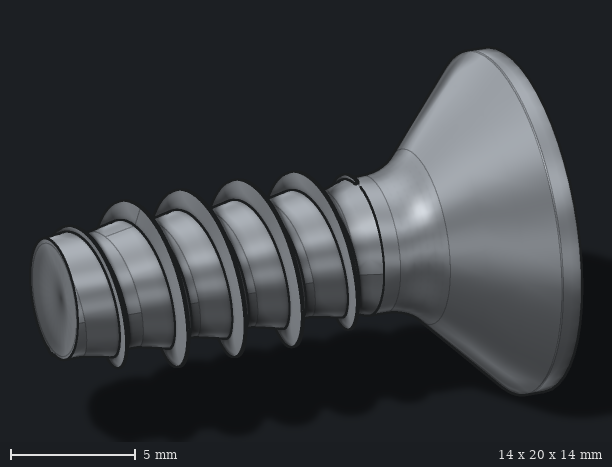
import cadquery as cq
import math


length = 20.0
head_radius = 7.0
rim_depth = 0.88
rim_rounding = 0.08
countersink_angle = math.radians(45)
neck_fillet = 2.6

shank_radius = 2.8
shank_end = 6.87
neck_cone_end = 7.97
core_radius = 2.45
dimple_radius = 2.3
dimple_depth = 0.3

pitch = 2.48
crest_radius = 3.5
crest_depth_on_x = 8.26
crest_half_width = 0.045
shoulder_radius = 2.93
shoulder_offset = 0.22
head_side_foot_offset = 0.53
tip_side_foot_radius = 2.72
tip_side_foot_offset = 0.27
taper_end_offset = 1.55
overlap = 0.06
taper_sink = 0.015
inner_radius = 2.2

thread_start = 6.8

thread_stations = [(6.4, 0.45), (shank_end, 0.55), (9.48, 1.0), (16.3, 1.0), (20.2, 0.07)]
samples_per_turn = 24


def make_body():
    """Head, neck fillet, shank, neck cone and core as one revolved outline."""
    tangent_shift = neck_fillet * math.sin(countersink_angle)
    fillet_start_radius = shank_radius + neck_fillet * (1 - math.cos(countersink_angle))
    fillet_start = rim_depth + (head_radius - fillet_start_radius) / math.tan(countersink_angle)
    fillet_end = fillet_start + tangent_shift
    arc_angle = countersink_angle / 2
    arc_middle = (
        shank_radius + neck_fillet * (1 - math.cos(arc_angle)),
        -(fillet_end - neck_fillet * math.sin(arc_angle)),
    )
    outline = (
        cq.Workplane("XY")
        .moveTo(0, 0)
        .lineTo(head_radius, 0)
        .lineTo(head_radius, -rim_depth)
        .lineTo(fillet_start_radius, -fillet_start)
        .threePointArc(arc_middle, (shank_radius, -fillet_end))
        .lineTo(shank_radius, -shank_end)
        .lineTo(core_radius, -neck_cone_end)
        .lineTo(core_radius, -length)
        .lineTo(0, -length)
        .close()
    )
    body = outline.revolve(360, (0, 0, 0), (0, 1, 0))
    rim_edges = cq.selectors.BoxSelector(
        (-2 * head_radius, -rim_depth - rim_rounding, -2 * head_radius),
        (2 * head_radius, rim_rounding, 2 * head_radius),
    )
    return body.edges(rim_edges).edges("%CIRCLE").fillet(rim_rounding)


def ridge_section(height):
    """Corners of the ridge as (depth offset from the crest, radius), height from 0 to 1.

    The ridge narrows in step with its height. The radius of the foot on the tip side drops
    with the square root of it, so that the tapering core outlasts the ridge.
    """
    crest = core_radius + height * (crest_radius - core_radius)
    shoulder = core_radius + height * (shoulder_radius - core_radius)
    foot = core_radius + math.sqrt(height) * (tip_side_foot_radius - core_radius)
    head_side_end = -head_side_foot_offset * height - overlap
    return [
        (head_side_end, inner_radius),
        (head_side_end, core_radius - overlap),
        (-shoulder_offset * height, shoulder),
        (-crest_half_width * height, crest),
        (crest_half_width, crest),
        (tip_side_foot_offset * height, foot),
        (taper_end_offset + overlap, core_radius - taper_sink),
        (taper_end_offset + overlap, inner_radius),
    ]


def section_points(helix_depth, height):
    """The ridge section placed in space at the angle that belongs to the helix depth."""
    angle = 2 * math.pi * (helix_depth - crest_depth_on_x) / pitch
    points = []
    for offset, radius in ridge_section(height):
        level_depth = shank_end + min(offset, tip_side_foot_offset * height)
        depth = max(helix_depth + offset, level_depth)
        points.append(cq.Vector(radius * math.cos(angle), -depth, radius * math.sin(angle)))
    return points


def section_cap(points):
    """Flat face across the ridge."""
    return cq.Face.makeFromWires(cq.Wire.makePolygon(points, close=True))


def thread_segment(start, end):
    """Solid ridge between two stations, with one helical face for each side of its section."""
    start_depth, start_height = start
    end_depth, end_height = end
    steps = math.ceil(samples_per_turn * (end_depth - start_depth) / pitch)
    shares = [step / steps for step in range(steps + 1)]
    sections = []
    for share in shares:
        helix_depth = start_depth + share * (end_depth - start_depth)
        height = start_height + share * (end_height - start_height)
        sections.append(section_points(helix_depth, height))
    spirals = [cq.Edge.makeSpline(list(path), parameters=shares) for path in zip(*sections)]
    neighbours = spirals[1:] + spirals[:1]
    faces = [cq.Face.makeRuledSurface(near, far) for near, far in zip(spirals, neighbours)]
    faces += [section_cap(sections[0]), section_cap(sections[-1])]
    return cq.Solid.makeSolid(cq.Shell.makeShell(faces))


def add_thread(body):
    """Join the ridge, trimmed to the length between the end of the shank and the tip."""
    threaded_zone = (
        cq.Workplane("XZ", origin=(0, -thread_start, 0))
        .circle(head_radius)
        .extrude(length - thread_start)
    )
    for start, end in zip(thread_stations, thread_stations[1:]):
        segment = cq.Workplane(thread_segment(start, end))
        body = body.union(threaded_zone.intersect(segment))
    return body


def make_dimple():
    """Shallow conical hollow in the tip."""
    return cq.Workplane(
        cq.Solid.makeCone(dimple_radius, 0, dimple_depth, cq.Vector(0, -length, 0), cq.Vector(0, 1, 0))
    )


result = add_thread(make_body()).cut(make_dimple())